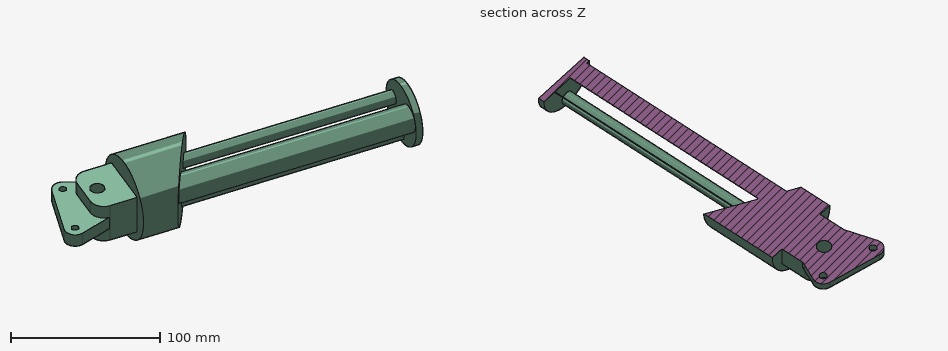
import cadquery as cq
import math

overall_length = 263.5

sleeve_radius = 30.0
sleeve_long_side = 60.0
cut_angle = 30
flange_radius = 23.7
flange_thickness = 5.0
flange_back = 210.0

main_rod = (12.5, 5.0, 10.0)
side_rod = (-12.5, 5.0, 5.0)
lower_rod = (0, -16.5, 5.0)
rod_start = 10.0

block_width = 40.0
block_length = 30.0
block_height = 30.0
block_corner_radius = 10.0

plate_thickness = 10.0
ear_offset = block_width / 2
pivot = (0, -20.0)
pivot_hole_diameter = 10.0
hub_radius = 19.0
ear_hole_diameter = 5.0
ear_radius = 1.5 * ear_hole_diameter
left_ear = (-ear_offset, -36.0)
right_ear = (ear_offset, flange_back - overall_length + ear_radius)


def along_y(x, z, radius, start, end):
    """Cylinder parallel to Y between two Y positions."""
    plane = cq.Plane(origin=(x, start, z), xDir=(1, 0, 0), normal=(0, 1, 0))
    return cq.Workplane(plane).circle(radius).extrude(end - start)


def make_sleeve():
    """Cylinder whose back end is cut on a slant, longest at -X."""
    diameter = 2 * sleeve_radius
    short_side = sleeve_long_side - diameter * math.tan(math.radians(cut_angle))
    profile = [
        (-sleeve_radius, 0),
        (sleeve_radius, 0),
        (sleeve_radius, short_side),
        (-sleeve_radius, sleeve_long_side),
    ]
    slanted_prism = cq.Workplane("XY").polyline(profile).close().extrude(sleeve_radius, both=True)
    return along_y(0, 0, sleeve_radius, 0, sleeve_long_side).intersect(slanted_prism)


def make_block():
    """Mounting block with its two front corners rounded."""
    return (
        cq.Workplane("XY")
        .center(0, -block_length / 2)
        .rect(block_width, block_length)
        .extrude(block_height / 2, both=True)
        .edges("|Z and <Y")
        .fillet(block_corner_radius)
    )


def tangent_points(first, first_radius, second, second_radius):
    """Ends of the outer tangent to two circles, on the right going from first to second."""
    dx = second[0] - first[0]
    dy = second[1] - first[1]
    tilt = math.acos((first_radius - second_radius) / math.hypot(dx, dy))
    angle = math.atan2(dy, dx) - tilt
    return [
        (x + radius * math.cos(angle), y + radius * math.sin(angle))
        for (x, y), radius in ((first, first_radius), (second, second_radius))
    ]


def make_plate():
    """Three-lobed plate: outer tangents joining the hub and two ears."""
    lobes = [(pivot, hub_radius), (left_ear, ear_radius), (right_ear, ear_radius)]
    corners = []
    for index, (center, radius) in enumerate(lobes):
        next_center, next_radius = lobes[(index + 1) % len(lobes)]
        corners += tangent_points(center, radius, next_center, next_radius)
    plate = cq.Workplane("XY").polyline(corners).close().extrude(plate_thickness / 2, both=True)
    for center, radius in lobes:
        disc = cq.Workplane("XY").center(*center).circle(radius)
        plate = plate.union(disc.extrude(plate_thickness / 2, both=True))
    return plate


def z_holes(points, diameter):
    """Through-hole cutters parallel to Z."""
    return cq.Workplane("XY").pushPoints(points).circle(diameter / 2).extrude(block_height, both=True)


result = make_sleeve().union(make_block()).union(make_plate())
flange_front = flange_back - flange_thickness
result = result.union(along_y(0, 0, flange_radius, flange_front, flange_back))
for rod_x, rod_z, rod_radius in (main_rod, side_rod, lower_rod):
    result = result.union(along_y(rod_x, rod_z, rod_radius, rod_start, flange_front))
result = result.cut(z_holes([pivot], pivot_hole_diameter))
result = result.cut(z_holes([left_ear, right_ear], ear_hole_diameter))